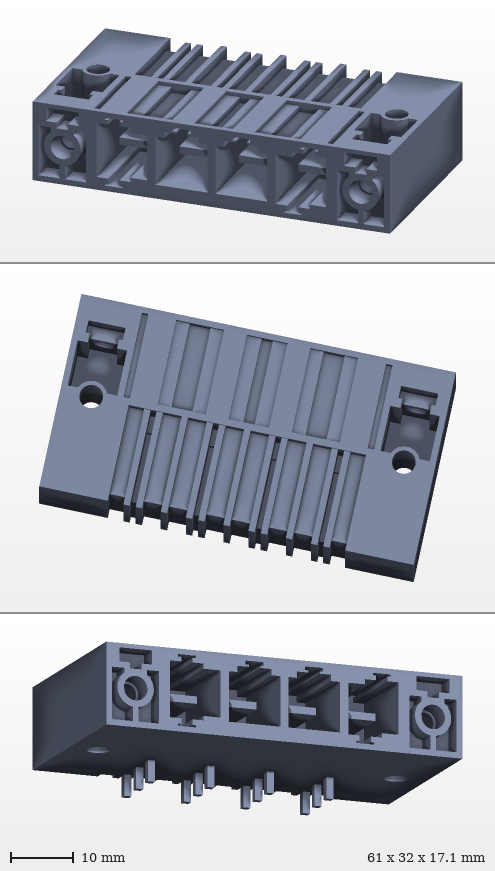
import cadquery as cq


WIDTH = 60.95
DEPTH = 32.0
HEIGHT = 13.6
POLE_PITCH = 10.2
POLE_XS = [(i - 1.5) * POLE_PITCH for i in range(4)]
FLANGE_X = 2.5 * POLE_PITCH
FLOOR = 1.0

CHAMBER_END = 15.0
DECK_START = 16.1

DECK_HALF_WIDTH = 19.3
DECK_Z = HEIGHT - 1.65
DECK_BACK = 30.55
RIB = 1.05
RIB_GAP = 1.0
PAIRED_RIB_DROP = 0.35

CONTACT_Z = 6.75
BLADE_WIDTH = 4.65
BLADE_HEIGHT = 1.2
BLADE_START = 5.0
ROOT_WIDTH = 6.1
ROOT_HEIGHT = 3.35
ROOT_END = 18.85
TAIL_LENGTH = 1.95
PIN = 1.2
PIN_LENGTH = 3.55
PINS_PER_CONTACT = 3
PIN_PITCH = POLE_PITCH / 2
TAIL_END = 30.35
TAIL_START = TAIL_END - TAIL_LENGTH
BAR_TOP = CONTACT_Z + BLADE_HEIGHT / 2

INNER_HALF_WIDTH = 8.85 / 2
OUTER_HALF_WIDTH = 8.6 / 2
NECK_HALF_WIDTH = 1.0
HEAD_HALF_WIDTH = 1.5
CHAMBER_TOP = 10.65
KEY_TOP = 12.7
INNER_BOTTOM = 2.4
INNER_STEP_HALF_WIDTH = 2.9
INNER_STEP_TOP = 11.7
INNER_HEAD_BOTTOM = 12.1
OUTER_BOTTOM = 2.9
OUTER_STEP_X = 1.45
OUTER_STEP_TOP = 11.5
OUTER_STEP_BOTTOM = 2.2
OUTER_KEY_X = 1.4
KEY_HEAD_HEIGHT = 0.35

GROOVE_START = 1.0
SIDE_GROOVE_X = 19.9
SIDE_GROOVE_WIDTH = 1.05
SIDE_GROOVE_DEPTH = 1.05
GROOVE_DEPTH = 0.7
GROOVE_INNER_DEPTH = 1.7
STEPPED_GROOVES = [(-10.9, 3.9, 1.7), (0, 3.3, 0.9), (10.9, 3.9, 1.7)]

BORE_Z = 6.4
CLEARANCE_RADIUS = 2.0
NUT_BORE_RADIUS = 1.65
BOSS_RADIUS = 3.1
WEB_HALF_WIDTH = 1.95
LOWER_WEB_HALF_WIDTH = 0.46
FRONT_POCKET_DEPTH = 3.5
POCKET_HALF_WIDTH = 4.0
FRONT_POCKET_TOP = 9.6
T_SHOULDER_Z = 10.55
T_TOP = 12.85
T_HALF_WIDTH = 2.8

NUT_SIZE = 6.05
NUT_THICKNESS = 2.0
NUT_START = 3.95
NUT_END = NUT_START + NUT_THICKNESS

POCKET_START = 7.5
ACCESS_HALF_WIDTH = 2.4
MOUNT_HOLE_Y = DEPTH / 2
MOUNT_HOLE_RADIUS = 1.9
MOUNT_BOSS_RADIUS = 2.55


def block(x0, x1, y0, y1, z0, z1):
    """Box between two opposite corners."""
    return cq.Workplane("XY").box(x1 - x0, y1 - y0, z1 - z0, centered=False).translate((x0, y0, z0))


def centred_block(x, half_width, y0, y1, z0, z1):
    """Box that is symmetric about the plane at x."""
    return block(x - half_width, x + half_width, y0, y1, z0, z1)


def y_cylinder(x, z, radius, y0, y1):
    """Cylinder along Y."""
    plane = cq.Plane(origin=(x, y0, z), xDir=(1, 0, 0), normal=(0, 1, 0))
    return cq.Workplane(plane).circle(radius).extrude(y1 - y0)


def rear_deck(body):
    """Lower the deck between the flanges, set its back in, and add the ribs."""
    body = body.cut(centred_block(0, DECK_HALF_WIDTH, DECK_START, DEPTH, DECK_Z, HEIGHT))
    body = body.cut(centred_block(0, DECK_HALF_WIDTH, DECK_BACK, DEPTH, 0, HEIGHT))
    for x in (-POLE_PITCH, 0, POLE_PITCH):
        body = body.union(centred_block(x, RIB / 2, DECK_START, DEPTH, 0, HEIGHT))
    for x in POLE_XS:
        rib_pair = centred_block(x, RIB_GAP / 2 + RIB, DECK_START, DEPTH, 0, HEIGHT - PAIRED_RIB_DROP)
        slot = centred_block(x, RIB_GAP / 2, DECK_START, DEPTH, BAR_TOP, HEIGHT)
        back_slot = centred_block(x, RIB_GAP / 2, TAIL_END, DEPTH, 0, HEIGHT)
        body = body.union(rib_pair).cut(slot).cut(back_slot)
    return body


def chamber_part(x, half_width, z0, z1):
    """Block of chamber space from the front face to the cross wall."""
    return centred_block(x, half_width, 0, CHAMBER_END, z0, z1)


def inner_chamber(x):
    """Chamber with one keyway in the middle of its roof."""
    return (
        chamber_part(x, INNER_HALF_WIDTH, INNER_BOTTOM, CHAMBER_TOP)
        .union(chamber_part(x, INNER_STEP_HALF_WIDTH, CHAMBER_TOP, INNER_STEP_TOP))
        .union(chamber_part(x, NECK_HALF_WIDTH, INNER_STEP_TOP, KEY_TOP))
        .union(chamber_part(x, HEAD_HALF_WIDTH, INNER_HEAD_BOTTOM, KEY_TOP))
    )


def outer_chamber(x, roof_side):
    """Chamber with a keyway in the roof, on the roof_side of x, and one in the floor, on the left."""
    def tall_part(side, z0, z1):
        """Extra height on one side of the chamber."""
        x0, x1 = sorted((x + side * OUTER_HALF_WIDTH, x - side * OUTER_STEP_X))
        return block(x0, x1, 0, CHAMBER_END, z0, z1)

    roof_key_x = x + roof_side * OUTER_KEY_X
    floor_key_x = x - OUTER_KEY_X
    key_bottom = HEIGHT - KEY_TOP
    return (
        chamber_part(x, OUTER_HALF_WIDTH, OUTER_BOTTOM, CHAMBER_TOP)
        .union(tall_part(roof_side, CHAMBER_TOP, OUTER_STEP_TOP))
        .union(tall_part(-1, OUTER_STEP_BOTTOM, OUTER_BOTTOM))
        .union(chamber_part(roof_key_x, NECK_HALF_WIDTH, OUTER_STEP_TOP, KEY_TOP))
        .union(chamber_part(roof_key_x, HEAD_HALF_WIDTH, KEY_TOP - KEY_HEAD_HEIGHT, KEY_TOP))
        .union(chamber_part(floor_key_x, NECK_HALF_WIDTH, key_bottom, OUTER_STEP_BOTTOM))
        .union(chamber_part(floor_key_x, HEAD_HALF_WIDTH, key_bottom, key_bottom + KEY_HEAD_HEIGHT))
    )


def top_grooves(body):
    """Narrow grooves beside the flanges and stepped grooves between the poles."""
    for x in (-SIDE_GROOVE_X, SIDE_GROOVE_X):
        body = body.cut(centred_block(
            x, SIDE_GROOVE_WIDTH / 2, GROOVE_START, CHAMBER_END, HEIGHT - SIDE_GROOVE_DEPTH, HEIGHT))
    for x, half_width, inner_half_width in STEPPED_GROOVES:
        body = body.cut(centred_block(
            x, half_width, GROOVE_START, CHAMBER_END, HEIGHT - GROOVE_DEPTH, HEIGHT))
        body = body.cut(centred_block(
            x, inner_half_width, GROOVE_START, CHAMBER_END,
            HEIGHT - GROOVE_INNER_DEPTH, HEIGHT))
    return body


def front_pockets(x):
    """T-shaped pocket over the screw boss and the pockets on both sides of it."""
    depth = FRONT_POCKET_DEPTH
    sides = (
        centred_block(x, POCKET_HALF_WIDTH, 0, depth, FLOOR, FRONT_POCKET_TOP)
        .cut(y_cylinder(x, BORE_Z, BOSS_RADIUS, 0, depth))
        .cut(centred_block(x, WEB_HALF_WIDTH, 0, depth, BORE_Z, FRONT_POCKET_TOP))
        .cut(centred_block(x, LOWER_WEB_HALF_WIDTH, 0, depth, FLOOR, BORE_Z))
    )
    t_bar = centred_block(x, T_HALF_WIDTH, 0, depth, T_SHOULDER_Z, T_TOP)
    t_neck = centred_block(x, NECK_HALF_WIDTH, 0, depth, FRONT_POCKET_TOP, T_SHOULDER_Z)
    return sides.union(t_bar).union(t_neck)


def screw_bore(x):
    """Clearance bore from the front face to the nut."""
    return y_cylinder(x, BORE_Z, CLEARANCE_RADIUS, 0, NUT_START)


def access_pocket(x):
    """Pocket open at the top behind the nut, with the slot the nut drops into."""
    boss = cq.Workplane("XY").center(x, MOUNT_HOLE_Y).circle(MOUNT_BOSS_RADIUS).extrude(HEIGHT)
    nut_slot = centred_block(x, NUT_SIZE / 2, NUT_START, NUT_END, BORE_Z - NUT_SIZE / 2, HEIGHT)
    neck = centred_block(x, ACCESS_HALF_WIDTH, NUT_END, POCKET_START, FLOOR, HEIGHT)
    room = centred_block(x, POCKET_HALF_WIDTH, POCKET_START, CHAMBER_END, FLOOR, HEIGHT)
    return room.cut(boss).union(neck).union(nut_slot)


def mounting_hole(x):
    """Vertical hole right through the flange."""
    return cq.Workplane("XY").center(x, MOUNT_HOLE_Y).circle(MOUNT_HOLE_RADIUS).extrude(HEIGHT)


def make_contact(x):
    """Blade, root held in the cross wall, bar with a tail block, and three solder pins."""
    blade_z = (CONTACT_Z - BLADE_HEIGHT / 2, BAR_TOP)
    root_z = (CONTACT_Z - ROOT_HEIGHT / 2, CONTACT_Z + ROOT_HEIGHT / 2)
    contact = (
        centred_block(x, BLADE_WIDTH / 2, BLADE_START, CHAMBER_END, *blade_z)
        .union(centred_block(x, ROOT_WIDTH / 2, CHAMBER_END, ROOT_END, *root_z))
        .union(centred_block(x, PIN / 2, ROOT_END, TAIL_START, *blade_z))
        .union(centred_block(x, PIN / 2, TAIL_START, TAIL_END, *root_z))
    )
    for i in range(PINS_PER_CONTACT):
        pin_back = TAIL_END - i * PIN_PITCH
        contact = contact.union(
            centred_block(x, PIN / 2, pin_back - PIN, pin_back, -PIN_LENGTH, CONTACT_Z))
    return contact


def make_nut(x):
    """Square nut standing in its slot."""
    half = NUT_SIZE / 2
    nut = centred_block(x, half, NUT_START, NUT_END, BORE_Z - half, BORE_Z + half)
    return nut.cut(y_cylinder(x, BORE_Z, NUT_BORE_RADIUS, NUT_START, NUT_END))


def make_housing(contacts):
    """Housing with a matching cavity for each contact."""
    body = rear_deck(centred_block(0, WIDTH / 2, 0, DEPTH, 0, HEIGHT))
    body = body.cut(outer_chamber(POLE_XS[0], -1)).cut(outer_chamber(POLE_XS[3], 1))
    for x in POLE_XS[1:3]:
        body = body.cut(inner_chamber(x))
    body = top_grooves(body)
    for x in (-FLANGE_X, FLANGE_X):
        body = body.cut(front_pockets(x)).cut(screw_bore(x))
        body = body.cut(access_pocket(x)).cut(mounting_hole(x))
    for contact in contacts:
        body = body.cut(contact)
    return body


contacts = [make_contact(x) for x in POLE_XS]
nuts = [make_nut(x) for x in (-FLANGE_X, FLANGE_X)]
housing = make_housing(contacts)

result = cq.Compound.makeCompound(
    [housing.val()] + [contact.val() for contact in contacts] + [nut.val() for nut in nuts])